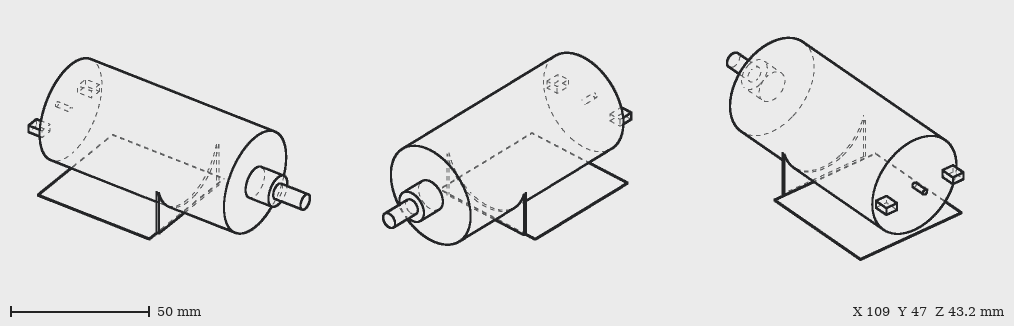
import cadquery as cq

overall_length = 109.0
overall_height = 43.2

can_diameter = 39.2
can_length = 81.0
collar_diameter = 12.0
collar_length = 10.0
shaft_diameter = 6.0
rear_pin_diameter = 2.0
rear_length = 6.0

can_front = rear_length + can_length
collar_front = can_front + collar_length
shaft_length = overall_length - collar_front

terminal_width = 5.0
terminal_height = 2.9
terminal_offset = 15.5
terminal_center_z = -0.7

base_width = 47.0
base_length = 48.9
base_thickness = 0.3
base_start = 8.0

base_end = base_start + base_length
base_bottom = can_diameter / 2 - overall_height
base_top = base_bottom + base_thickness

support_width = 37.7
support_thickness = 1.0
support_top = -5.1
support_height = support_top - base_top


def axial_cylinder(diameter, start, length):
    """Cylinder on the motor axis, running forward from X = start."""
    return cq.Workplane("YZ", origin=(start, 0, 0)).circle(diameter / 2).extrude(length)


def block(start, length, width, center_y, bottom, height):
    """Box with its rear face at X = start and its lower face at Z = bottom."""
    corner = (start, center_y - width / 2, bottom)
    return cq.Workplane("XY", origin=corner).box(length, width, height, centered=False)


def make_motor():
    """Can with collar, shaft, rear pin, two terminals and the support plate."""
    motor = axial_cylinder(can_diameter, rear_length, can_length)
    motor = motor.union(axial_cylinder(collar_diameter, can_front, collar_length))
    motor = motor.union(axial_cylinder(shaft_diameter, collar_front, shaft_length))
    motor = motor.union(axial_cylinder(rear_pin_diameter, 0, rear_length))

    terminal_bottom = terminal_center_z - terminal_height / 2
    for side in (-1, 1):
        terminal = block(
            0, rear_length, terminal_width, side * terminal_offset, terminal_bottom, terminal_height
        )
        motor = motor.union(terminal)

    support = block(base_end, support_thickness, support_width, 0, base_top, support_height)
    return motor.union(support)


def make_base_sheet():
    """Thin flat sheet below the motor, ending at the rear face of the support plate."""
    return block(base_start, base_length, base_width, 0, base_bottom, base_thickness)


motor = make_motor()
base_sheet = make_base_sheet()

result = cq.Compound.makeCompound([motor.val(), base_sheet.val()])